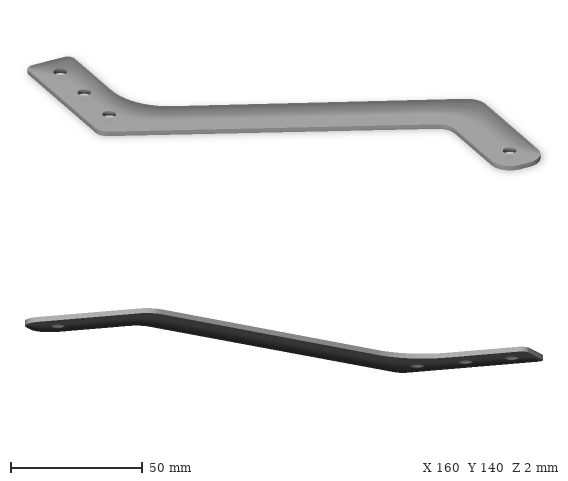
import cadquery as cq

length = 160.0
width = 140.0
thickness = 2.0

arm_width = 20.0
web_left_bottom_x = 48.0
web_left_top_x = 105.3
web_right_bottom_x = 59.8
web_right_top_x = 118.0

lower_end_radius = 3.0
upper_end_radius = 8.0
outer_bend_lower_radius = 5.0
outer_bend_upper_radius = 8.0
inner_bend_lower_radius = 25.0
inner_bend_upper_radius = 7.5

hole_diameter = 5.3
lower_hole_xs = (10.0, 29.0, 49.0)
upper_hole_x = 148.0

upper_arm_y = width - arm_width

corners = [
    (0, 0, lower_end_radius),
    (web_right_bottom_x, 0, outer_bend_lower_radius),
    (web_right_top_x, upper_arm_y, inner_bend_upper_radius),
    (length, upper_arm_y, upper_end_radius),
    (length, width, upper_end_radius),
    (web_left_top_x, width, outer_bend_upper_radius),
    (web_left_bottom_x, arm_width, inner_bend_lower_radius),
    (0, arm_width, lower_end_radius),
]


def make_plate():
    """Extrude the sharp outline, then round each vertical edge."""
    outline = [(x, y) for x, y, _ in corners]
    plate = cq.Workplane("XY").polyline(outline).close().extrude(thickness)
    for x, y, radius in corners:
        edge = cq.selectors.NearestToPointSelector((x, y, thickness / 2))
        plate = plate.edges("|Z").edges(edge).fillet(radius)
    return plate


def make_holes():
    """Through-hole cylinders on the centrelines of both arms."""
    centers = [(x, arm_width / 2) for x in lower_hole_xs]
    centers.append((upper_hole_x, width - arm_width / 2))
    return cq.Workplane("XY").pushPoints(centers).circle(hole_diameter / 2).extrude(thickness)


result = make_plate().cut(make_holes())